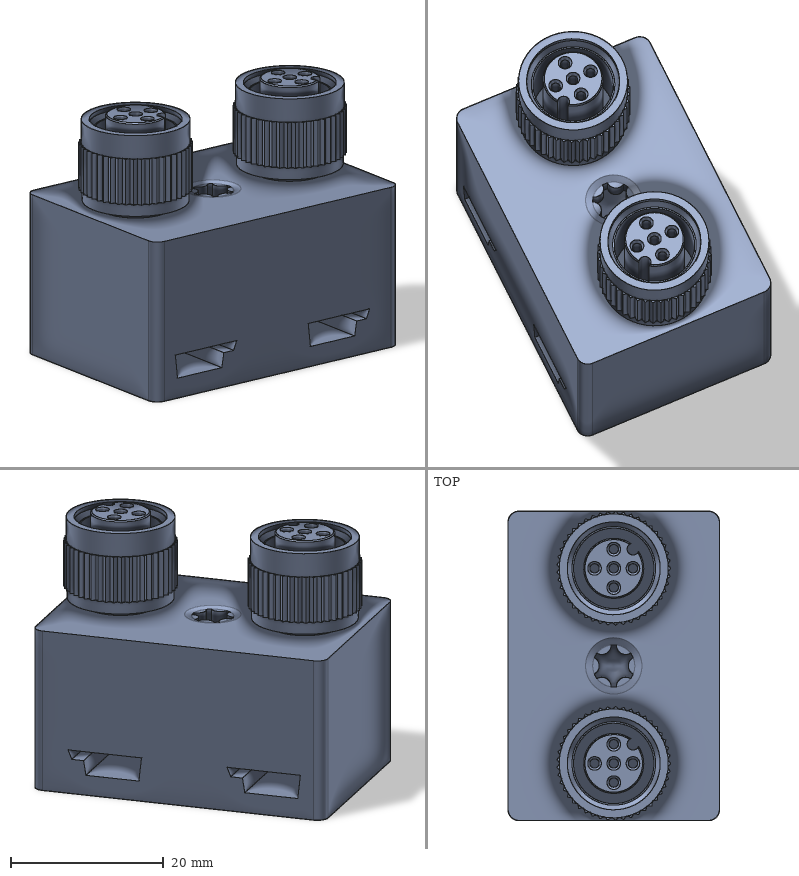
import cadquery as cq
import math

HOUSING_WIDTH = 27.7
HOUSING_LENGTH = 40.5
HOUSING_HEIGHT = 22.0
CORNER_RADIUS = 1.5

SLOT_PITCH = 22.0
SLOT_BOTTOM = 2.75
SLOT_STEP = 4.75
SLOT_TOP = 6.0
SLOT_FLOOR_START = 5.43
SLOT_FLOOR_END = 12.75
SLOT_LEDGE_START = 13.1
SLOT_LEDGE_END = 14.7
SLOT_TOP_START = 5.05
SLOT_TOP_END = 15.23

DISH_RADIUS = 3.7
DISH_DEPTH = 0.2
DRIVE_RADIUS = 2.75
DRIVE_WAIST_RADIUS = 1.9
DRIVE_LOBE_RADIUS = 1.2
DRIVE_DEPTH = 1.8
DRIVE_CONE_DEPTH = 0.8
DRIVE_POINTS = 6

CONNECTOR_PITCH = 25.5
NECK_RADIUS = 4.7
NECK_HEIGHT = 0.97
LOWER_COLLAR_RADIUS = 7.0
KNURL_BOTTOM = 2.65
KNURL_TOP = 8.9
KNURL_TIP_RADIUS = 7.45
KNURL_ROOT_RADIUS = 7.05
KNURL_TEETH = 45
UPPER_COLLAR_RADIUS = 7.13
COLLAR_TOP = 12.1
MOUTH_RADIUS = 6.08
MOUTH_DEPTH = 0.55
LEAD_IN_DEPTH = 0.6
LEAD_IN_END_RADIUS = 5.45
BORE_RADIUS = 5.25
BORE_FLOOR = KNURL_BOTTOM

CARRIER_RADIUS = 3.93
CARRIER_TOP = 12.8
CARRIER_CHAMFER = 0.15
OUTER_CONTACTS = 4
CONTACT_OFFSET = 2.5
CONTACT_RADIUS = 0.6
CONTACT_MOUTH_RADIUS = 0.9
CONTACT_MOUTH_DEPTH = 0.5
CONTACT_DEPTH = 4.05
KEYWAY_OFFSET = 3.55
KEYWAY_RADIUS = 0.75
KEYWAY_ANGLE = 45


def cylinder(radius, bottom, top):
    """An upright cylinder on the Z axis between two heights."""
    return cq.Workplane("XY").workplane(offset=bottom).circle(radius).extrude(top - bottom)


def cone(bottom_radius, top_radius, bottom, top):
    """An upright truncated cone on the Z axis between two heights."""
    height = top - bottom
    return cq.Workplane(
        cq.Solid.makeCone(bottom_radius, top_radius, height, cq.Vector(0, 0, bottom))
    )


def slot(shift):
    """A stepped, slightly tapered slot running right through the housing along X."""
    outline = [
        (SLOT_FLOOR_START, SLOT_BOTTOM),
        (SLOT_FLOOR_END, SLOT_BOTTOM),
        (SLOT_LEDGE_START, SLOT_STEP),
        (SLOT_LEDGE_END, SLOT_STEP),
        (SLOT_TOP_END, SLOT_TOP),
        (SLOT_TOP_START, SLOT_TOP),
    ]
    profile = cq.Workplane("YZ").polyline(outline).close()
    return profile.extrude(HOUSING_WIDTH / 2, both=True).translate((0, shift, 0))


def screw_recess():
    """A shallow dish with a six-point star socket that ends in a conical floor."""
    dish_bottom = HOUSING_HEIGHT - DISH_DEPTH
    wall_bottom = dish_bottom - DRIVE_DEPTH
    cone_tip = wall_bottom - DRIVE_CONE_DEPTH
    dish = cone(DRIVE_RADIUS, DISH_RADIUS, dish_bottom, HOUSING_HEIGHT)
    socket = cylinder(DRIVE_RADIUS, wall_bottom, dish_bottom)
    socket = socket.union(cone(0, DRIVE_RADIUS, cone_tip, wall_bottom))
    lobes = (
        cq.Workplane("XY").workplane(offset=cone_tip)
        .polarArray(DRIVE_WAIST_RADIUS + DRIVE_LOBE_RADIUS, 0, 360, DRIVE_POINTS)
        .circle(DRIVE_LOBE_RADIUS)
        .extrude(dish_bottom - cone_tip)
    )
    return dish.union(socket.cut(lobes))


def make_housing():
    """The round-cornered block with its two slots and the screw recess."""
    housing = (
        cq.Workplane("XY")
        .box(HOUSING_WIDTH, HOUSING_LENGTH, HOUSING_HEIGHT, centered=(True, True, False))
        .edges("|Z").fillet(CORNER_RADIUS)
    )
    for shift in (0, -SLOT_PITCH):
        housing = housing.cut(slot(shift))
    return housing.cut(screw_recess())


def knurled_band():
    """A ring of pointed teeth, one of them on the +X axis."""
    step = math.pi / KNURL_TEETH
    points = []
    for i in range(2 * KNURL_TEETH):
        radius = KNURL_TIP_RADIUS if i % 2 == 0 else KNURL_ROOT_RADIUS
        points.append((radius * math.cos(i * step), radius * math.sin(i * step)))
    band = cq.Workplane("XY").workplane(offset=KNURL_BOTTOM).polyline(points).close()
    return band.extrude(KNURL_TOP - KNURL_BOTTOM)


def sleeve():
    """The knurled coupling sleeve with its mouth, conical lead-in and bore."""
    body = cylinder(LOWER_COLLAR_RADIUS, NECK_HEIGHT, KNURL_BOTTOM)
    body = body.union(knurled_band())
    body = body.union(cylinder(UPPER_COLLAR_RADIUS, KNURL_TOP, COLLAR_TOP))
    mouth_bottom = COLLAR_TOP - MOUTH_DEPTH
    lead_in_bottom = mouth_bottom - LEAD_IN_DEPTH
    body = body.cut(cylinder(MOUTH_RADIUS, mouth_bottom, COLLAR_TOP))
    body = body.cut(cone(LEAD_IN_END_RADIUS, MOUTH_RADIUS, lead_in_bottom, mouth_bottom))
    return body.cut(cylinder(BORE_RADIUS, BORE_FLOOR, COLLAR_TOP))


def carrier():
    """The round contact carrier with five contact holes and a keyway."""
    body = cylinder(CARRIER_RADIUS, NECK_HEIGHT, CARRIER_TOP)
    body = body.faces(">Z").chamfer(CARRIER_CHAMFER)
    mouth_bottom = CARRIER_TOP - CONTACT_MOUTH_DEPTH
    contact = cylinder(CONTACT_RADIUS, CARRIER_TOP - CONTACT_DEPTH, CARRIER_TOP)
    contact = contact.union(
        cone(CONTACT_RADIUS, CONTACT_MOUTH_RADIUS, mouth_bottom, CARRIER_TOP)
    )
    body = body.cut(contact)
    for i in range(OUTER_CONTACTS):
        angle = 2 * math.pi * i / OUTER_CONTACTS
        spot = (CONTACT_OFFSET * math.cos(angle), CONTACT_OFFSET * math.sin(angle), 0)
        body = body.cut(contact.translate(spot))
    keyway = cylinder(KEYWAY_RADIUS, BORE_FLOOR, CARRIER_TOP).translate((KEYWAY_OFFSET, 0, 0))
    return body.cut(keyway.rotate((0, 0, 0), (0, 0, 1), KEYWAY_ANGLE))


def make_connector(y):
    """One connector standing on the housing top: neck, sleeve and contact carrier."""
    connector = cylinder(NECK_RADIUS, 0, NECK_HEIGHT).union(sleeve()).union(carrier())
    return connector.translate((0, y, HOUSING_HEIGHT))


housing = make_housing()
connectors = [make_connector(side * CONNECTOR_PITCH / 2) for side in (-1, 1)]

result = cq.Compound.makeCompound([housing.val(), *[c.val() for c in connectors]])